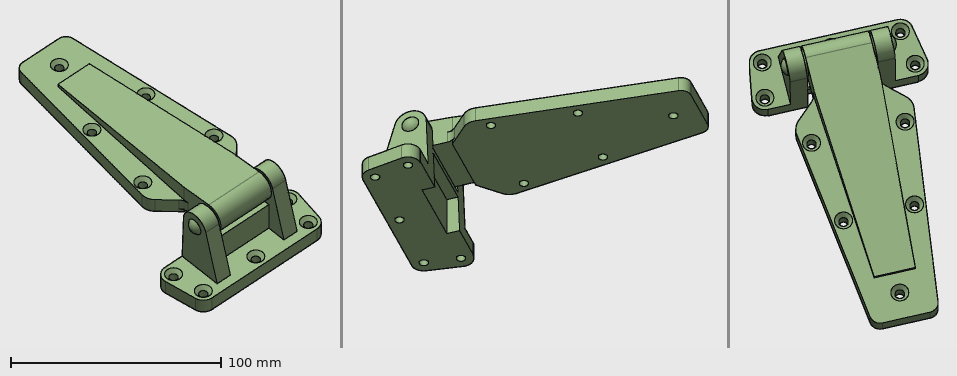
import cadquery as cq
import math


knuckle_radius = 8.0
overall_height = 43.0
axis_z = overall_height - knuckle_radius
pin_radius = 4.3
pin_dome_height = 2.4

arm_half_width = 16.3
cheek_inner_y = 17.2
cheek_outer_y = 25.8

washer_radius = 6.6

plate_thickness = 8.0
screw_radius = 2.2
countersink_radius = 4.3
countersink_angle = 90

flange_right_x = 21.0
flange_half_length = 43.0
flange_corner_radius = 6.2
flange_right_hole_y = 33.8
cheek_foot_right_x = 15.8
foot_left_x = -9.3
web_top_z = 24.2
web_roof_thickness = 3.2
web_wall_thickness = plate_thickness

overall_length = 158
strap_left_x = flange_right_x - overall_length
strap_left_half_width = 16.1
strap_shoulder_x = -30.2
strap_shoulder_half_width = 29.2
strap_right_x = -17.9
strap_bottom_z = 25.0
strap_top_z = strap_bottom_z + plate_thickness
strap_end_corner_radius = 5.0
strap_shoulder_radius = 7.9
strap_screw_points = [(-123.9, 0), (-81.8, 17.4), (-81.8, -17.4), (-39.8, 22.9), (-39.8, -22.9)]

arm_tip_x = -113.8
arm_tip_z = 34.6
arm_tip_half_width = 10.1
arm_bottom_z = axis_z - knuckle_radius
arm_blend_radius = 6.0


def tangent_point(x, z, side):
    """Where the line from (x, z) touches the knuckle circle; side is +1 or -1, the way round
    the circle (counter-clockwise or clockwise) from the direction of the outer point."""
    toward_point = math.atan2(z - axis_z, x)
    angle = toward_point + side * math.acos(knuckle_radius / math.hypot(x, z - axis_z))
    return (knuckle_radius * math.cos(angle), axis_z + knuckle_radius * math.sin(angle))


def prism_along_y(profile, y_start, y_end):
    """Extrude a closed XZ profile from y_start to y_end."""
    return profile.extrude(-(y_end - y_start)).translate((0, y_start, 0))


def cylinder_along_y(radius, y_start, y_end):
    """Cylinder about the hinge axis."""
    return prism_along_y(cq.Workplane("XZ").center(0, axis_z).circle(radius), y_start, y_end)


def drill_screw_holes(body, points, top_z):
    """Drill countersunk screw holes through a plate whose upper face is at top_z."""
    return (
        body.copyWorkplane(cq.Workplane("XY", origin=(0, 0, top_z)))
        .pushPoints(points)
        .cskHole(2 * screw_radius, 2 * countersink_radius, countersink_angle, depth=plate_thickness)
    )


lean_x, lean_z = tangent_point(foot_left_x, 0, -1)


def left_face_x(z):
    """X of the leaning left face at height z."""
    return foot_left_x + (lean_x - foot_left_x) * z / lean_z


flange_left_x = left_face_x(plate_thickness)
left_hole_x = flange_left_x + flange_corner_radius
left_hole_y = flange_half_length - flange_corner_radius
right_hole_x = flange_right_x - flange_corner_radius


def make_flange():
    """Foot plate whose corner rounds are centred on the corner screw holes."""
    slant = math.atan2(left_hole_y - flange_right_hole_y, right_hole_x - left_hole_x)

    def on_round(hole_x, hole_y, angle):
        return (
            hole_x + flange_corner_radius * math.cos(angle),
            hole_y + flange_corner_radius * math.sin(angle),
        )

    slant_normal = math.pi / 2 - slant
    left_middle = (math.pi + slant_normal) / 2
    right_middle = slant_normal / 2
    half = (
        cq.Workplane("XY")
        .moveTo(flange_left_x, 0)
        .lineTo(flange_left_x, left_hole_y)
        .threePointArc(
            on_round(left_hole_x, left_hole_y, left_middle),
            on_round(left_hole_x, left_hole_y, slant_normal),
        )
        .lineTo(*on_round(right_hole_x, flange_right_hole_y, slant_normal))
        .threePointArc(
            on_round(right_hole_x, flange_right_hole_y, right_middle),
            (flange_right_x, flange_right_hole_y),
        )
        .lineTo(flange_right_x, 0)
        .close()
        .extrude(plate_thickness)
    )
    foot_profile = (
        cq.Workplane("XZ")
        .polyline([
            (foot_left_x, 0),
            (left_hole_x, 0),
            (left_hole_x, plate_thickness),
            (flange_left_x, plate_thickness),
        ])
        .close()
    )
    leaning_edge = prism_along_y(foot_profile, -left_hole_y, left_hole_y)
    return half.union(half.mirror("XZ")).union(leaning_edge)


def make_cheek(y_start):
    """Upright lug with a round top that carries one end of the pin."""
    profile = (
        cq.Workplane("XZ")
        .moveTo(foot_left_x, 0)
        .lineTo(lean_x, lean_z)
        .threePointArc((0, overall_height), tangent_point(cheek_foot_right_x, plate_thickness, 1))
        .lineTo(cheek_foot_right_x, plate_thickness)
        .lineTo(cheek_foot_right_x, 0)
        .close()
    )
    return prism_along_y(profile, y_start, y_start + cheek_outer_y - cheek_inner_y)


def make_bracket():
    """Flange, two cheeks, and a web between the cheeks with a recess open to the left and below."""
    web_back_x = left_hole_x + web_wall_thickness
    web_profile = (
        cq.Workplane("XZ")
        .polyline([
            (foot_left_x, 0),
            (left_face_x(web_top_z), web_top_z),
            (web_back_x, web_top_z),
            (web_back_x, 0),
        ])
        .close()
    )
    recess = cq.Workplane("XY").box(
        left_hole_x - foot_left_x,
        2 * cheek_inner_y,
        web_top_z - web_roof_thickness,
        centered=(False, True, False),
    ).translate((foot_left_x, 0, 0))
    pin_hole = cylinder_along_y(pin_radius, -cheek_outer_y, cheek_outer_y)
    solid = (
        make_flange()
        .union(make_cheek(-cheek_outer_y))
        .union(make_cheek(cheek_inner_y))
        .union(prism_along_y(web_profile, -cheek_inner_y, cheek_inner_y))
        .cut(recess)
        .cut(pin_hole)
    )
    screw_points = [(right_hole_x, 0)]
    for side in (-1, 1):
        screw_points += [(left_hole_x, side * left_hole_y), (right_hole_x, side * flange_right_hole_y)]
    return drill_screw_holes(solid, screw_points, plate_thickness)


def make_strap_layer(right_end, bottom_z, top_z):
    """Slice of the strap plate, widening to its shoulders and narrowing again to the arm.

    right_end lists the outline points on the +Y side that follow the shoulder.
    """
    upper_side = [
        (strap_left_x, strap_left_half_width),
        (strap_shoulder_x, strap_shoulder_half_width),
        *right_end,
    ]
    lower_side = [(x, -y) for x, y in reversed(upper_side)]
    layer = (
        cq.Workplane("XY", origin=(0, 0, bottom_z))
        .polyline(upper_side + lower_side)
        .close()
        .extrude(top_z - bottom_z)
    )
    layer = layer.edges("|Z and <X").fillet(strap_end_corner_radius)
    for shoulder in ("|Z and >Y", "|Z and <Y"):
        layer = layer.edges(shoulder).fillet(strap_shoulder_radius)
    return layer


def make_strap_plate():
    """Plate whose upper layer runs on under the arm, with rounded inner corners beside it."""
    plate_end = (strap_right_x, arm_half_width)
    arm_root = (0, arm_half_width)
    lower_layer = make_strap_layer([plate_end], strap_bottom_z, arm_bottom_z)
    upper_layer = make_strap_layer([plate_end, arm_root], arm_bottom_z, strap_top_z)
    layer_middle_z = (arm_bottom_z + strap_top_z) / 2
    for side in (-1, 1):
        inner_corner = (strap_right_x, side * arm_half_width, layer_middle_z)
        nearest = cq.selectors.NearestToPointSelector(inner_corner)
        upper_layer = upper_layer.edges("|Z").edges(nearest).fillet(arm_blend_radius)
    return lower_layer.union(upper_layer)


def make_arm():
    """Wedge that rises from the tip to the knuckle, tapered in plan along the plate."""
    side_profile = (
        cq.Workplane("XZ")
        .moveTo(arm_tip_x, arm_bottom_z)
        .lineTo(arm_tip_x, arm_tip_z)
        .lineTo(*tangent_point(arm_tip_x, arm_tip_z, -1))
        .threePointArc((knuckle_radius, axis_z), (0, arm_bottom_z))
        .close()
    )
    plan_outline = (
        cq.Workplane("XY")
        .polyline([
            (arm_tip_x, arm_tip_half_width),
            (strap_right_x, arm_half_width),
            (knuckle_radius, arm_half_width),
            (knuckle_radius, -arm_half_width),
            (strap_right_x, -arm_half_width),
            (arm_tip_x, -arm_tip_half_width),
        ])
        .close()
        .extrude(overall_height)
    )
    return prism_along_y(side_profile, -arm_half_width, arm_half_width).intersect(plan_outline)


def make_strap():
    """Strap plate and arm in one piece, bored for the pin."""
    strap = make_strap_plate().union(make_arm())
    strap = strap.cut(cylinder_along_y(pin_radius, -arm_half_width, arm_half_width))
    return drill_screw_holes(strap, strap_screw_points, strap_top_z)


def make_pin():
    """Round pin with a domed head at each end, turned about its own axis."""
    tip_y = cheek_outer_y + pin_dome_height
    dome_radius = (pin_radius**2 + pin_dome_height**2) / (2 * pin_dome_height)
    half_angle = math.asin(pin_radius / dome_radius) / 2
    mid_radius = dome_radius * math.sin(half_angle)
    mid_y = tip_y - dome_radius * (1 - math.cos(half_angle))
    return (
        cq.Workplane("XY")
        .moveTo(0, -tip_y)
        .threePointArc((mid_radius, -mid_y), (pin_radius, -cheek_outer_y))
        .lineTo(pin_radius, cheek_outer_y)
        .threePointArc((mid_radius, mid_y), (0, tip_y))
        .close()
        .revolve(360, (0, 0, 0), (0, 1, 0))
        .translate((0, 0, axis_z))
    )


def make_washer(y_start):
    """Flat ring that fills the gap between the arm and one cheek."""
    y_end = y_start + cheek_inner_y - arm_half_width
    return cylinder_along_y(washer_radius, y_start, y_end).cut(cylinder_along_y(pin_radius, y_start, y_end))


bracket = make_bracket()
strap = make_strap()
pin = make_pin()
washers = [make_washer(y_start) for y_start in (-cheek_inner_y, arm_half_width)]

result = cq.Compound.makeCompound(
    [bracket.val(), strap.val(), pin.val(), *[washer.val() for washer in washers]]
)